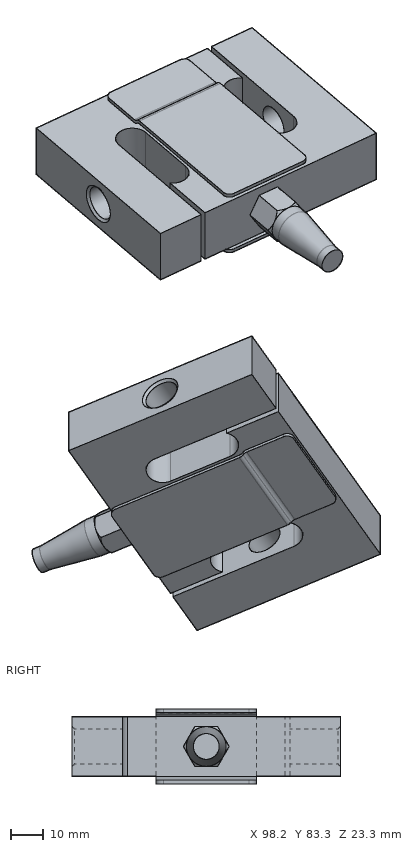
import cadquery as cq
import math

overall_length = 98.17

block_length = 64.77
block_width = 83.28
block_height = 18.5

slot_length = 31.2
slot_width = 10.3
slot_offset = 20.8
cut_width = 1.5

hole_diameter = 10.9
countersink_diameter = 12.5
countersink_depth = (countersink_diameter - hole_diameter) / 2

plate_thickness = 1.2
plate_lift = 1.21
plate_width = 31.2
plate_inset = 0.64
plate_corner_radius = 2.3
bend_start = 15.4
bend_radius = 1.7

hex_across_flats = 12.3
hex_length = 10.3
hex_chamfer_angle = 45
hex_sides = 6
collar_length = 3.4
cone_length = 17.0
tip_diameter = 8.0
gland_length = overall_length - block_length

half_length = block_length / 2
half_height = block_height / 2


def side_opening(turn):
    """A slot on the +Y side with a thin cut along its outer edge, running out through -X."""
    slot = (
        cq.Workplane("XY")
        .center(0, slot_offset)
        .slot2D(slot_length, slot_width)
        .extrude(block_height, both=True)
    )
    cut_centre = slot_offset + slot_width / 2 - cut_width / 2
    cut = (
        cq.Workplane("XY")
        .center(-half_length / 2, cut_centre)
        .rect(half_length, cut_width)
        .extrude(block_height, both=True)
    )
    return slot.union(cut).rotate((0, 0, 0), (0, 0, 1), turn)


def arm_hole(turn):
    """A hole through the -Y arm into the slot, countersunk at the outer face."""
    hole_radius = hole_diameter / 2
    mouth_radius = countersink_diameter / 2
    outer_face = -block_width / 2
    inner_end = -slot_offset
    return (
        cq.Workplane("XY")
        .moveTo(0, outer_face)
        .lineTo(mouth_radius, outer_face)
        .lineTo(hole_radius, outer_face + countersink_depth)
        .lineTo(hole_radius, inner_end)
        .lineTo(0, inner_end)
        .close()
        .revolve(360, (0, 0, 0), (0, 1, 0))
        .rotate((0, 0, 0), (0, 0, 1), turn)
    )


def make_block():
    block = cq.Workplane("XY").box(block_length, block_width, block_height)
    for turn in (0, 180):
        block = block.cut(side_opening(turn)).cut(arm_hole(turn))
    return block


def make_top_plate():
    """Plate resting on the block at -X, then stepping up through an S-bend of two equal arcs."""
    left = -half_length + plate_inset
    right = half_length
    rest_bottom = half_height
    rest_top = rest_bottom + plate_thickness
    raised_bottom = rest_bottom + plate_lift
    raised_top = rest_top + plate_lift

    bend_angle = math.acos(1 - plate_lift / 2 / bend_radius)
    half_angle = bend_angle / 2
    first_x = left + bend_start
    last_x = first_x + 2 * bend_radius * math.sin(bend_angle)

    def first_arc_point(flat_z, angle):
        rise = bend_radius * (1 - math.cos(angle))
        return (first_x + bend_radius * math.sin(angle), flat_z + rise)

    def last_arc_point(flat_z, angle):
        drop = bend_radius * (1 - math.cos(angle))
        return (last_x - bend_radius * math.sin(angle), flat_z - drop)

    return (
        cq.Workplane("XZ")
        .moveTo(left, rest_bottom)
        .lineTo(first_x, rest_bottom)
        .threePointArc(first_arc_point(rest_bottom, half_angle), first_arc_point(rest_bottom, bend_angle))
        .threePointArc(last_arc_point(raised_bottom, half_angle), (last_x, raised_bottom))
        .lineTo(right, raised_bottom)
        .lineTo(right, raised_top)
        .lineTo(last_x, raised_top)
        .threePointArc(last_arc_point(raised_top, half_angle), last_arc_point(raised_top, bend_angle))
        .threePointArc(first_arc_point(rest_top, half_angle), (first_x, rest_top))
        .lineTo(left, rest_top)
        .close()
        .extrude(plate_width / 2, both=True)
        .edges("|Z")
        .fillet(plate_corner_radius)
    )


def make_gland():
    """Hexagon with chamfered corners, then a round collar tapering to a short tip, along +X."""
    collar_radius = hex_across_flats / 2
    tip_radius = tip_diameter / 2
    corner_radius = collar_radius / math.cos(math.pi / hex_sides)
    chamfer_length = (corner_radius - collar_radius) / math.tan(math.radians(hex_chamfer_angle))
    hex_end = half_length + hex_length
    collar_end = hex_end + collar_length
    cone_end = collar_end + cone_length
    tip_end = half_length + gland_length

    hexagon = (
        cq.Workplane("YZ", origin=(half_length, 0, 0))
        .polygon(hex_sides, 2 * corner_radius)
        .extrude(hex_length)
    )
    corner_limit = (
        cq.Workplane("XY")
        .moveTo(half_length, 0)
        .lineTo(half_length, corner_radius)
        .lineTo(hex_end - chamfer_length, corner_radius)
        .lineTo(hex_end, collar_radius)
        .lineTo(hex_end, 0)
        .close()
        .revolve(360, (0, 0, 0), (1, 0, 0))
    )
    boot = (
        cq.Workplane("XY")
        .moveTo(hex_end, 0)
        .lineTo(hex_end, collar_radius)
        .lineTo(collar_end, collar_radius)
        .lineTo(cone_end, tip_radius)
        .lineTo(tip_end, tip_radius)
        .lineTo(tip_end, 0)
        .close()
        .revolve(360, (0, 0, 0), (1, 0, 0))
    )
    return hexagon.intersect(corner_limit).union(boot)


block = make_block()
top_plate = make_top_plate()
bottom_plate = top_plate.mirror("XY")
gland = make_gland()

result = cq.Compound.makeCompound([block.val(), top_plate.val(), bottom_plate.val(), gland.val()])